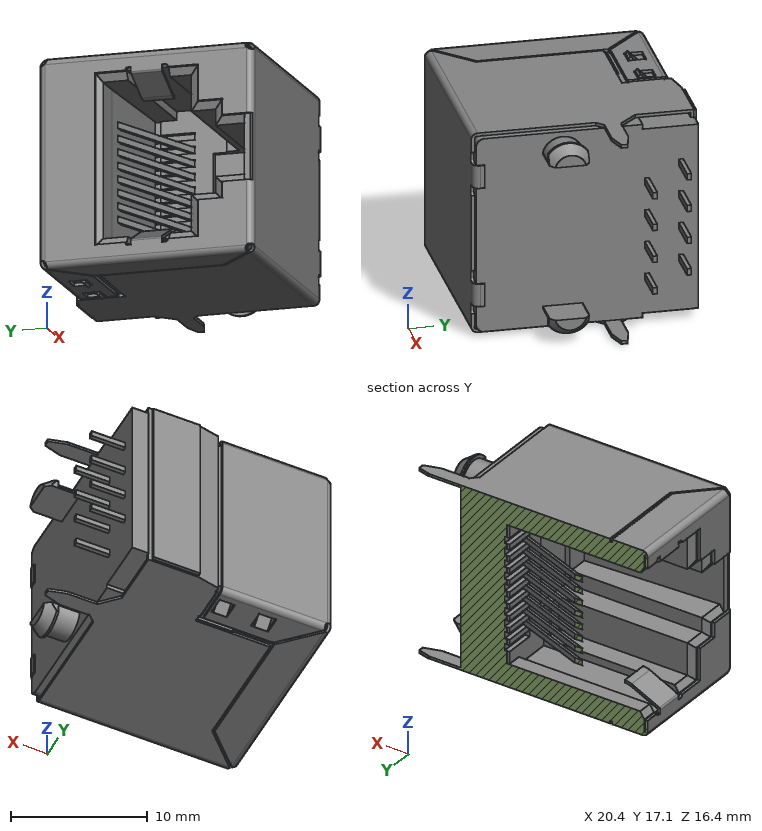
import cadquery as cq
import math


sheet = 0.25
shield_length = 16.01
shield_width = 16.4
shield_half_height = 7.94
bend_radius = 0.47
body_front = 0.29
body_length = 16.56
body_corner_radius = 0.61
inner_half_height = shield_half_height - sheet
low_half_height = 7.32
low_start_y = 12.69
rear_width = 16.83
rear_block_width = 16.87
rear_slope_end = 11.14
tail_end = 19.3
part_length = 20.4


def box(x0, x1, y0, y1, z0, z1):
    """Axis-aligned block between the given limits."""
    block = cq.Workplane("XY").box(x1 - x0, y1 - y0, z1 - z0, centered=False)
    return block.translate((x0, y0, z0))


def top_prism(points, z0, z1):
    """XY outline extruded from z0 to z1."""
    return cq.Workplane("XY").workplane(offset=z0).polyline(points).close().extrude(z1 - z0)


def both_sides(shape):
    """The shape together with its mirror image about Z = 0."""
    return shape.union(shape.mirror("XY"))


flap_end = 8.98
front_block_end = 6.32
flap_slope_start = 12.93
flap_slope_end = 13.2


def plastic_body():
    """Main block with rounded corners, and the lowered block on the contact side."""
    body = box(body_front, body_length, sheet, low_start_y, -inner_half_height, inner_half_height)
    body = body.edges("|X and <Y").fillet(body_corner_radius)
    rear = box(body_front, body_length, low_start_y, shield_width - sheet, -low_half_height, low_half_height)
    back = box(rear_slope_end, body_length, shield_width - sheet, rear_width - sheet,
               -low_half_height, low_half_height)
    return body.union(rear).union(back)


def flap_ramp():
    """Ramp that eases the front of the body down to the lowered block."""
    outline = [
        (low_start_y, low_half_height),
        (flap_slope_end, low_half_height),
        (flap_slope_start, inner_half_height),
        (low_start_y, inner_half_height),
    ]
    ramp = cq.Workplane("YZ").workplane(offset=body_front).polyline(outline).close()
    return both_sides(ramp.extrude(front_block_end - body_front))


rear_cap_start = 15.24


def rear_cap():
    """Exposed end of the rear block, behind the widened shield."""
    return box(rear_cap_start, body_length, low_start_y, rear_block_width,
               -low_half_height, low_half_height)


rear_panel_start = 9.36
sheared_edge_end = 9.3
sheared_edge_start = 9.15
flap_slot_low = 12.75
flap_slot_high = 13.25
rear_slope_start_width = 16.46
tail_low = 9.83
tail_high = 11.08
tail_tip_low = 10.25
tail_tip_high = 10.7
tail_taper_start = 19.0
rear_recess_corner = 12.45
rear_edge_corner = 9.3


def bent_box(clearance):
    """Open-ended box with rounded bends, inset from the outside by clearance."""
    height = shield_half_height - clearance
    block = box(clearance, body_length, clearance, shield_width - clearance, -height, height)
    return block.edges("|X or <X").fillet(bend_radius - clearance)


def shield_shell():
    """Folded sheet box, open at the rear and cut away around the flaps."""
    shell = bent_box(0).cut(bent_box(sheet))
    shell = shell.cut(box(shield_length, body_length, 0, shield_width,
                          -shield_half_height, shield_half_height))
    shell = shell.cut(box(rear_panel_start, body_length, rear_edge_corner, shield_width,
                          -shield_half_height, shield_half_height))
    shell = shell.cut(box(flap_end, body_length, flap_slot_low, shield_width,
                          -shield_half_height, shield_half_height))
    slot_start = mitre_inset + mitre_gap / 2
    slot = box(slot_start, flap_end, flap_slot_low, flap_slot_high, inner_half_height, shield_half_height)
    return shell.cut(both_sides(slot))


def side_plates():
    """Flat plates over the rear half, each ending in a pointed grounding tail."""
    outline = [
        (rear_panel_start, rear_edge_corner),
        (shield_length, rear_edge_corner),
        (body_length, tail_low),
        (tail_taper_start, tail_low),
        (part_length, tail_tip_low),
        (part_length, tail_tip_high),
        (tail_taper_start, tail_high),
        (body_length, tail_high),
        (rear_cap_start, rear_recess_corner),
        (rear_cap_start, rear_width),
        (rear_slope_end, rear_width),
        (rear_panel_start, rear_slope_start_width),
    ]
    return both_sides(top_prism(outline, inner_half_height, shield_half_height))


def sheared_edges():
    """Slanted plate edges facing the rear ends of the contact-side flaps."""
    outline = [
        (sheared_edge_start, inner_half_height),
        (sheared_edge_end, shield_half_height),
        (rear_panel_start, shield_half_height),
        (rear_panel_start, inner_half_height),
    ]
    edge_length = shield_width - bend_radius - flap_slot_high
    edge = cq.Workplane("XZ").workplane(offset=-flap_slot_high).polyline(outline).close()
    return both_sides(edge.extrude(-edge_length))


back_ridge_end = 14.93
back_ridge_half_height = 7.75
back_ridge_width = 17.07


def back_panel():
    """Contact-side wall of the widened rear portion, with its raised ridge."""
    outline = [
        (rear_panel_start, rear_slope_start_width - sheet),
        (rear_slope_end, rear_width - sheet),
        (rear_cap_start, rear_width - sheet),
        (rear_cap_start, rear_width),
        (rear_slope_end, rear_width),
        (rear_panel_start, rear_slope_start_width),
    ]
    panel = top_prism(outline, -inner_half_height, inner_half_height)
    ridge = box(rear_slope_end, back_ridge_end, rear_width - sheet, back_ridge_width,
                -back_ridge_half_height, back_ridge_half_height)
    return panel.union(ridge)


mitre_inset = 3.25
mitre_gap = 0.18
corner_relief_radius = 0.37


def mitre_seams():
    """Seams between the folded flaps, and the relief holes at the front corners."""
    half_gap = mitre_gap / 2
    reach = half_gap * math.tan(math.pi / 8)
    skew = mitre_gap / math.sqrt(2)
    low = mitre_inset
    high = shield_width - mitre_inset
    seam = box(low - half_gap, low + half_gap, low - reach, high + reach,
               inner_half_height, shield_half_height)
    for corner_y, end_y, tilt in ((0, low, -reach), (shield_width, high, reach)):
        diagonal = [
            (-skew, corner_y),
            (skew, corner_y),
            (low + half_gap, end_y + tilt),
            (low - half_gap, end_y - tilt),
        ]
        seam = seam.union(top_prism(diagonal, inner_half_height, shield_half_height))
    for relief_y in (sheet, shield_width - sheet):
        relief = cq.Workplane("XY").sphere(corner_relief_radius)
        seam = seam.union(relief.translate((sheet, relief_y, inner_half_height)))
    return both_sides(seam)


window_low = 14.08
window_high = 15.45
tongue_width = 1.06
tongue_tip_y = 14.3
tongue_tip_z = 8.18
tongue_places = (
    (4.15, 5.53, 4.3),
    (7.5, 8.75, 7.63),
)


def tongue_windows():
    """Rectangular openings around the tongues."""
    windows = cq.Workplane("XY")
    for start, end, _ in tongue_places:
        windows = windows.union(box(start, end, window_low, window_high,
                                    inner_half_height, shield_half_height))
    return both_sides(windows)


def tongues():
    """Tongues slanting outwards through their windows at 45 degrees."""
    rise = tongue_tip_z - low_half_height
    skew = sheet / math.sqrt(2)
    outline = [
        (tongue_tip_y + rise, low_half_height),
        (tongue_tip_y, tongue_tip_z),
        (tongue_tip_y - skew, tongue_tip_z - skew),
        (tongue_tip_y + rise - 2 * skew, low_half_height),
    ]
    tongue_pair = cq.Workplane("XY")
    for _, _, start in tongue_places:
        profile = cq.Workplane("YZ").workplane(offset=start).polyline(outline).close()
        tongue_pair = tongue_pair.union(profile.extrude(tongue_width))
    return both_sides(tongue_pair)


tab_low = 3.81
tab_high = 5.6
tab_end = 16.69
tab_reach = 0.85
tab_bend_radius = 0.5
notch_depth = 0.25
notch_width = 0.82
notch_corner = 0.22


def rear_tabs():
    """Tabs folded around the rear edge of the plastic body."""
    tab = box(shield_length - notch_depth, tab_end, 0, tab_reach, tab_low, tab_high)
    return both_sides(tab.edges("|Z and >X and <Y").fillet(tab_bend_radius))


def tab_notches():
    """Round-cornered bend reliefs on both sides of every tab."""
    notches = cq.Workplane("XY")
    for start in (tab_low - notch_width, tab_high):
        notch = box(shield_length - notch_depth, shield_length, 0, sheet, start, start + notch_width)
        notches = notches.union(notch.edges("|Y and <X").fillet(notch_corner))
    return both_sides(notches)


opening_top = 12.12
opening_steps = (
    (4.18, 6.5),
    (2.33, 3.75),
)
latch_half_height = 2.53
latch_wall = 0.71
plastic_setback = 0.12
lead_in = 0.6
lead_in_top = 0.45
lead_in_depth = 0.37
cavity_back = 12.25


def opening_outline(inset, top_inset, step_inset, floor):
    """Stepped opening outline in Y and Z, with each edge moved inwards."""
    (main_floor, main_half), (step_floor, step_half) = opening_steps
    half = [
        (opening_top - top_inset, main_half - inset),
        (main_floor + step_inset, main_half - inset),
        (main_floor + step_inset, step_half - inset),
        (step_floor + step_inset, step_half - inset),
        (step_floor + step_inset, latch_half_height - inset),
        (floor, latch_half_height - inset),
    ]
    return half + [(y, -z) for y, z in reversed(half)]


def plug_cavity():
    """Stepped plug cavity with its chamfered mouth."""
    mouth = opening_outline(0, 0, plastic_setback, latch_wall)
    throat = opening_outline(lead_in, lead_in_top, plastic_setback + lead_in, latch_wall)
    front = cq.Workplane("YZ").polyline(opening_outline(0, 0, 0, 0)).close().extrude(sheet)
    gap = cq.Workplane("YZ").workplane(offset=sheet).polyline(mouth).close()
    chamfer = cq.Workplane("YZ").workplane(offset=body_front).polyline(mouth).close()
    chamfer = chamfer.workplane(offset=lead_in_depth).polyline(throat).close().loft(ruled=True)
    chamfer_end = body_front + lead_in_depth
    deep = cq.Workplane("YZ").workplane(offset=chamfer_end).polyline(throat).close()
    cavity = front.union(gap.extrude(body_front - sheet)).union(chamfer)
    cavity = cavity.union(deep.extrude(cavity_back - chamfer_end))
    latch_face = box(sheet, body_front, sheet, latch_wall, -latch_half_height, latch_half_height)
    return cavity.union(latch_face)


ceiling_slope_start = 2.75
ceiling_back_y = 11.38
ledge_y = 10.95
ledge_undercut = 0.08
ledge_depth = 0.2


def ceiling_wedge():
    """Contact-side wall of the cavity, leaning in towards the back."""
    ceiling_y = opening_top - lead_in_top
    half = opening_steps[0][1]
    outline = [
        (ceiling_slope_start, ceiling_y),
        (cavity_back, ceiling_back_y),
        (cavity_back, ceiling_y),
    ]
    return top_prism(outline, -half, half)


floor_strip_y = 5.83
latch_recess_low = 3.18
latch_recess_high = 6.94
latch_recess_depth = 0.4


def back_wall_recesses():
    """Shallow recess along the ceiling and the recess behind the latch."""
    half = opening_steps[0][1] - lead_in
    ledge = box(cavity_back, cavity_back + ledge_depth, ledge_y,
                ceiling_back_y + ledge_undercut, -half, half)
    latch_half = opening_steps[1][1] - lead_in
    latch = box(cavity_back, cavity_back + latch_recess_depth, latch_recess_low, latch_recess_high,
                -latch_half, latch_half)
    return ledge.union(latch)


def latch_floor_ramp():
    """Floor below the latch, rising gently towards the back of the cavity."""
    half = latch_half_height
    outline = [
        (body_front, latch_wall),
        (cavity_back, latch_wall + lead_in),
        (cavity_back, latch_wall),
    ]
    return top_prism(outline, -half, half)


def floor_strips():
    """Raised strips of the back wall beside the latch recess."""
    main_floor, main_half = opening_steps[0]
    latch_half = opening_steps[1][1] - lead_in
    strip = box(cavity_back - ledge_depth, cavity_back, main_floor + lead_in, floor_strip_y,
                latch_half, main_half - lead_in)
    return both_sides(strip)


groove_low = 6.53
groove_high = 9.75
groove_half_height = 6.57
notch_half_height = 6.73
notch_corner_radius = 0.18
spring_low = 6.98
spring_high = 9.35
spring_thickness = 0.2
spring_bend_start_z = 6.39
spring_bend_mid = (0.03, 6.3)
spring_bend_end = (0.1, 6.25)
spring_crest_start = (2.57, 5.05)
spring_crest_mid = (2.85, 4.98)
spring_crest_end = (3.15, 4.94)


def spring_grooves():
    """Grooves in the plastic, and the taller rounded notches in the front sheet."""
    groove = box(body_front, cavity_back, groove_low, groove_high, spring_crest_end[1], groove_half_height)
    notch = box(0, body_front, groove_low, groove_high, spring_crest_end[1], notch_half_height)
    return both_sides(groove.union(notch.edges("|X and >Z").fillet(notch_corner_radius)))


def springs():
    """Strips folded inwards from the front face, with a rounded free end."""
    wall_z = groove_half_height + sheet
    bend_x, bend_z = spring_bend_end
    start_x, start_z = spring_crest_start
    mid_x, mid_z = spring_crest_mid
    end_x, end_z = spring_crest_end
    slope = (bend_z - start_z) / (start_x - bend_x)
    lift = spring_thickness * math.hypot(1, slope)
    root_z = bend_z + lift - slope * (sheet - bend_x)
    profile = (
        cq.Workplane("XZ").workplane(offset=-spring_low)
        .moveTo(0, wall_z)
        .lineTo(0, spring_bend_start_z)
        .threePointArc(spring_bend_mid, spring_bend_end)
        .lineTo(start_x, start_z)
        .threePointArc(spring_crest_mid, spring_crest_end)
        .lineTo(end_x, end_z + lift)
        .threePointArc((mid_x, mid_z + lift), (start_x, start_z + lift))
        .lineTo(sheet, root_z)
        .lineTo(sheet, wall_z)
        .close()
    )
    return both_sides(profile.extrude(spring_low - spring_high))


contact_count = 8
contact_pitch = 1.02
contact_width = 0.47
contact_slot_width = 0.55
slot_depth = 0.4
contact_thickness = 0.25
contact_start = 3.92
contact_end_y = 8.36


def contacts():
    """Slanted contact strips from the cavity ceiling to the back wall."""
    start_y = opening_top - lead_in_top
    end_x = cavity_back + slot_depth
    angle = math.atan2(start_y - contact_end_y, end_x - contact_start)
    rise = contact_thickness / math.cos(angle)
    outline = [
        (contact_start, start_y),
        (end_x, contact_end_y),
        (end_x, contact_end_y + rise),
        (contact_start, start_y + rise),
    ]
    comb = cq.Workplane("XY")
    for index in range(contact_count):
        z = (index - (contact_count - 1) / 2) * contact_pitch
        comb = comb.union(top_prism(outline, z - contact_width / 2, z + contact_width / 2))
    return comb


def contact_slots():
    """Slots in the back wall: one per contact and a spare at each end."""
    slot_count = contact_count + 2
    slots = cq.Workplane("XY")
    for index in range(slot_count):
        z = (index - (slot_count - 1) / 2) * contact_pitch
        slots = slots.union(box(cavity_back, cavity_back + slot_depth, contact_end_y, ceiling_back_y,
                                z - contact_slot_width / 2, z + contact_slot_width / 2))
    return slots


pin_pitch = 1.26
pin_width = 0.49
pin_thickness = 0.33
pin_root = 0.2
pin_rows = (13.02, 15.57)


def solder_pins():
    """Straight pins, alternating between the two rows."""
    pins = cq.Workplane("XY")
    for index in range(contact_count):
        z = (index - (contact_count - 1) / 2) * pin_pitch
        y = pin_rows[index % 2]
        pins = pins.union(box(body_length - pin_root, tail_end, y - pin_thickness / 2, y + pin_thickness / 2,
                              z - pin_width / 2, z + pin_width / 2))
    return pins


peg_y = 6.71
peg_axis_z = 5.75
peg_flat_z = 6.08
peg_half_width = 1.49
peg_radius = 1.55
barb_radius = 1.82
barb_start = 18.28
barb_land_end = 18.45
barb_tip_radius = 1.2


def locating_pegs():
    """Half-round pegs with a barbed, tapered head."""
    shaft = cq.Workplane("YZ").workplane(offset=body_length).circle(peg_radius)
    shaft = shaft.extrude(barb_start - body_length).translate((0, peg_y, peg_axis_z))
    head_outline = [
        (barb_start, 0),
        (barb_start, barb_radius),
        (barb_land_end, barb_radius),
        (tail_end, barb_tip_radius),
        (tail_end, 0),
    ]
    head = cq.Workplane("XY").polyline(head_outline).close().revolve(360, (0, 0), (1, 0))
    head = head.translate((0, peg_y, peg_axis_z))
    trim = box(body_length, tail_end, peg_y - peg_half_width, peg_y + peg_half_width,
               peg_flat_z, shield_half_height)
    return both_sides(shaft.union(head).intersect(trim))


shield = shield_shell().union(side_plates()).union(sheared_edges())
for opening in (mitre_seams(), tongue_windows(), tab_notches()):
    shield = shield.cut(opening)

plastic = plastic_body().union(flap_ramp())
result = plastic.union(shield).union(back_panel()).union(rear_cap())
for recess in (plug_cavity(), spring_grooves(), back_wall_recesses(), contact_slots()):
    result = result.cut(recess)
for addition in (ceiling_wedge(), latch_floor_ramp(), floor_strips(), contacts(), springs(), tongues(),
                 rear_tabs(), solder_pins(), locating_pegs()):
    result = result.union(addition)